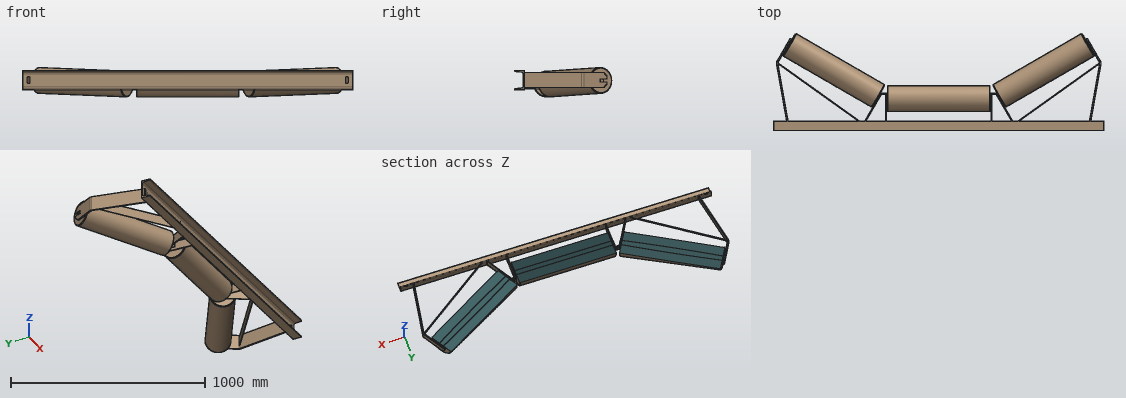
import cadquery as cq
import math

BEAM_LENGTH = 1700.0
BEAM_HEIGHT = 100.0
FLANGE_DEPTH = 50.0
WEB_THICKNESS = 6.0
FLANGE_TIP_THICKNESS = 6.5
FLANGE_ROOT_THICKNESS = 10.5
ROOT_FILLET = 8.0
TIP_FILLET = 3.0
BOLT_SLOT_WIDTH = 15.0
BOLT_SLOT_HEIGHT = 35.0
BOLT_SLOT_END_DISTANCE = 30.0

ROLLER_DIAMETER = 135.0
ROLLER_LENGTH = 530.0
ROLLER_CHAMFER = 4.2
SHAFT_DIAMETER = 29.0
TONGUE_WIDTH = 20.0
TONGUE_THICKNESS = 15.0
SLOT_CUT_ABOVE_TONGUE = 34.0
END_GAP = 3.0

TROUGH_ANGLE = 30.0
CENTRE_Y = 165.0
CENTRE_Z = -20.0
WING_X = 540.0
WING_Y = 311.0
WING_RISE = 19.0
WING_Z = CENTRE_Z + WING_RISE / 2
WING_TILT = math.degrees(math.asin(WING_RISE / ROLLER_LENGTH))

ARM_HEIGHT = 78.0
ARM_THICKNESS = 8.0
BRACKET_THICKNESS = 6.0
BRACKET_HEIGHT = 50.0
ARM_FOOT_X = 775.0
ARM_AXIS_TO_TIP = 30.0
ARM_AXIS_TO_BEND = 114.0
ARM_BEND_RADIUS = 17.0
ARM_TIP_CHAMFER = 19.0
BRACKET_TOP_Y = 194.0
BRACE_THICKNESS = 4.2
BRACE_HEIGHT = 51.0
BRACE_TOP_DROP = 8.0
BRACE_FOOT_X = 345.0

BRACKET_FACE = ROLLER_LENGTH / 2 + END_GAP
SHAFT_LENGTH = 2 * (BRACKET_FACE + BRACKET_THICKNESS)

COS_TROUGH = math.cos(math.radians(TROUGH_ANGLE))
SIN_TROUGH = math.sin(math.radians(TROUGH_ANGLE))


def wing_point(outward, up):
    """XY point of the left wing, measured along its axis and square to it."""
    return (
        -WING_X - outward * COS_TROUGH + up * SIN_TROUGH,
        WING_Y + outward * SIN_TROUGH + up * COS_TROUGH,
    )


def place_left_wing(body):
    """Move a body built along the X axis at the origin to the left wing."""
    tilted = body.rotate((0, 0, 0), (0, 1, 0), WING_TILT)
    troughed = tilted.rotate((0, 0, 0), (0, 0, 1), -TROUGH_ANGLE)
    return troughed.translate((-WING_X, WING_Y, WING_Z))


def place_right_wing(body):
    return place_left_wing(body).mirror("YZ")


def place_centre(body):
    return body.translate((0, CENTRE_Y, CENTRE_Z))


PLACEMENTS = (place_left_wing, place_centre, place_right_wing)


def make_beam():
    half_height = BEAM_HEIGHT / 2
    web_front = FLANGE_DEPTH - WEB_THICKNESS
    tip_z = half_height - FLANGE_TIP_THICKNESS
    root_z = half_height - FLANGE_ROOT_THICKNESS
    beam = (
        cq.Workplane("YZ")
        .polyline(
            [
                (FLANGE_DEPTH, -half_height),
                (FLANGE_DEPTH, half_height),
                (0, half_height),
                (0, tip_z),
                (web_front, root_z),
                (web_front, -root_z),
                (0, -tip_z),
                (0, -half_height),
            ]
        )
        .close()
        .extrude(BEAM_LENGTH)
        .translate((-BEAM_LENGTH / 2, 0, 0))
    )
    for z in (-1, 1):
        root = cq.selectors.NearestToPointSelector((0, web_front, z * root_z))
        beam = beam.edges(root).fillet(ROOT_FILLET)
        tip = cq.selectors.NearestToPointSelector((0, 0, z * tip_z))
        beam = beam.edges(tip).fillet(TIP_FILLET)

    slot_x = BEAM_LENGTH / 2 - BOLT_SLOT_END_DISTANCE
    slots = (
        cq.Workplane("XZ")
        .pushPoints([(-slot_x, 0), (slot_x, 0)])
        .slot2D(BOLT_SLOT_HEIGHT, BOLT_SLOT_WIDTH, 90)
        .extrude(-FLANGE_DEPTH)
    )
    return beam.cut(slots)


def offset_path(path, distance):
    """Shift an open path sideways to its left, with mitred corners."""
    directions = []
    for (x0, y0), (x1, y1) in zip(path, path[1:]):
        length = math.hypot(x1 - x0, y1 - y0)
        directions.append(((x1 - x0) / length, (y1 - y0) / length))
    shifted = []
    for i, (x, y) in enumerate(path):
        ax, ay = directions[max(i - 1, 0)]
        bx, by = directions[min(i, len(directions) - 1)]
        mitre = distance / (1 + ax * bx + ay * by)
        shifted.append((x - mitre * (ay + by), y + mitre * (ax + bx)))
    return shifted


def make_strip(path, thickness, z_bottom, z_top):
    """Flat bar standing on edge; a positive thickness grows to the left of the path."""
    outline = path + offset_path(path, thickness)[::-1]
    return cq.Workplane("XY", origin=(0, 0, z_bottom)).polyline(outline).close().extrude(z_top - z_bottom)


def make_left_arm():
    bend = wing_point(BRACKET_FACE + ARM_THICKNESS, -ARM_AXIS_TO_BEND)
    tip = wing_point(BRACKET_FACE + ARM_THICKNESS, ARM_AXIS_TO_TIP)
    path = [tip, bend, (-ARM_FOOT_X, 0)]
    inner_bend = offset_path(path, ARM_THICKNESS)[1]
    arm = make_strip(path, ARM_THICKNESS, -ARM_HEIGHT / 2, ARM_HEIGHT / 2)
    outer_edge = cq.selectors.NearestToPointSelector((*bend, 0))
    arm = arm.edges(outer_edge).fillet(ARM_BEND_RADIUS)
    inner_edge = cq.selectors.NearestToPointSelector((*inner_bend, 0))
    arm = arm.edges(inner_edge).fillet(ARM_BEND_RADIUS - ARM_THICKNESS)

    middle = BRACKET_FACE + ARM_THICKNESS / 2
    for z in (-1, 1):
        corner = (*wing_point(middle, ARM_AXIS_TO_TIP), z * ARM_HEIGHT / 2)
        arm = arm.edges(cq.selectors.NearestToPointSelector(corner)).chamfer(ARM_TIP_CHAMFER)
    return arm


def make_left_brace():
    top = ARM_HEIGHT / 2 - BRACE_TOP_DROP
    head = wing_point(BRACKET_FACE + ARM_THICKNESS / 2, -ARM_AXIS_TO_BEND)
    return make_strip([head, (-BRACE_FOOT_X, 0)], BRACE_THICKNESS, top - BRACE_HEIGHT, top)


def make_left_bracket():
    """Bent strip between the left wing and the centre roller, both feet on the beam."""
    face_x, face_y = wing_point(-BRACKET_FACE, 0)
    slope = SIN_TROUGH / COS_TROUGH
    path = [
        (face_x - face_y * slope, 0),
        (face_x + (BRACKET_TOP_Y - face_y) * slope, BRACKET_TOP_Y),
        (-BRACKET_FACE, BRACKET_TOP_Y),
        (-BRACKET_FACE, 0),
    ]
    z_bottom = CENTRE_Z - BRACKET_HEIGHT / 2
    return make_strip(path, -BRACKET_THICKNESS, z_bottom, z_bottom + BRACKET_HEIGHT)


def make_foot_trim():
    """Cutter that ends every foot inside the web of the beam."""
    mid_web = FLANGE_DEPTH - WEB_THICKNESS / 2
    return cq.Workplane("XY", origin=(0, mid_web - FLANGE_DEPTH, 0)).box(
        BEAM_LENGTH, 2 * FLANGE_DEPTH, BEAM_HEIGHT
    )


def make_bar(diameter, length):
    """Round bar along X, centred on the origin."""
    return cq.Workplane("YZ", origin=(-length / 2, 0, 0)).circle(diameter / 2).extrude(length)


def make_shaft():
    """Round inside the roller, with a flat rectangular tongue at each end."""
    tongues = cq.Workplane("XY").box(SHAFT_LENGTH, TONGUE_WIDTH, TONGUE_THICKNESS)
    return make_bar(SHAFT_DIAMETER, ROLLER_LENGTH).union(tongues)


def make_roller():
    return (
        make_bar(ROLLER_DIAMETER, ROLLER_LENGTH)
        .faces("<X or >X")
        .chamfer(ROLLER_CHAMFER)
        .cut(make_bar(SHAFT_DIAMETER, ROLLER_LENGTH))
    )


def make_tongue_slots():
    """Cutter for the two open slots that hold the tongues of one shaft."""
    slot_y = SLOT_CUT_ABOVE_TONGUE / 2
    slot_x = BRACKET_FACE + ARM_THICKNESS / 2
    return (
        cq.Workplane("XY")
        .pushPoints([(-slot_x, slot_y), (slot_x, slot_y)])
        .box(2 * ARM_THICKNESS, TONGUE_WIDTH + SLOT_CUT_ABOVE_TONGUE, TONGUE_THICKNESS)
    )


left_supports = make_left_arm().union(make_left_brace()).union(make_left_bracket())
left_supports = left_supports.cut(make_foot_trim())
frame = make_beam().union(left_supports).union(left_supports.mirror("YZ"))
rollers = []
shafts = []
for place in PLACEMENTS:
    frame = frame.cut(place(make_tongue_slots()))
    rollers.append(place(make_roller()))
    shafts.append(place(make_shaft()))

result = cq.Compound.makeCompound(
    [
        frame.val(),
        *[roller.val() for roller in rollers],
        *[shaft.val() for shaft in shafts],
    ]
)